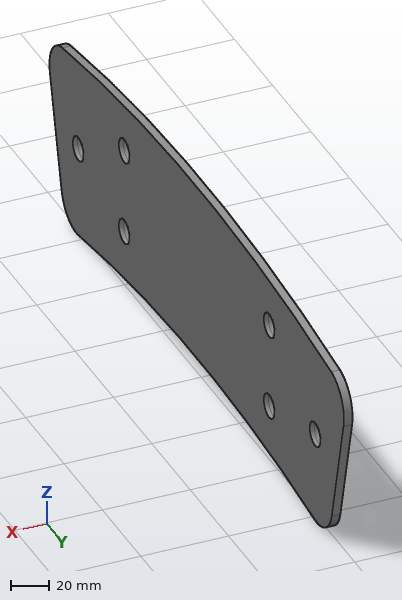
import cadquery as cq
import math

length = 384.0
thickness = 5.0
band_width = 105.3
outer_radius = 1087.0
inner_radius = outer_radius - band_width
corner_radius = 20.0
end_angle = math.radians(13.5)

hole_diameter = 14.0
end_hole_spacing = 309.0
inner_hole_spacing = 189.0
inner_hole_rise = 49.5
end_hole_drop = 64.5
inner_hole_drop = 56.5

end_hole_height = outer_radius - end_hole_drop
inner_hole_height = outer_radius - inner_hole_drop

round_y = length / 2 - corner_radius
round_z = math.sqrt((outer_radius - corner_radius) ** 2 - round_y**2)

edge_y = round_y + corner_radius * math.cos(end_angle)
edge_z = round_z - corner_radius * math.sin(end_angle)


def end_edge_corner(radius):
    """Sharp corner where the extended +Y end edge crosses an arc of the given radius."""
    along_y = math.sin(end_angle)
    along_z = math.cos(end_angle)
    projection = edge_y * along_y + edge_z * along_z
    offset_squared = edge_y**2 + edge_z**2 - projection**2
    travel = math.sqrt(radius**2 - offset_squared) - projection
    return edge_y + travel * along_y, edge_z + travel * along_z


def make_plate():
    """Curved band with leaning straight ends and four rounded corners."""
    top_y, top_z = end_edge_corner(outer_radius)
    bottom_y, bottom_z = end_edge_corner(inner_radius)
    return (
        cq.Workplane("YZ")
        .moveTo(-top_y, top_z)
        .threePointArc((0, outer_radius), (top_y, top_z))
        .lineTo(bottom_y, bottom_z)
        .threePointArc((0, inner_radius), (-bottom_y, bottom_z))
        .close()
        .extrude(thickness / 2, both=True)
        .edges("|X")
        .fillet(corner_radius)
    )


def make_holes():
    """Cutters for the six through holes, mirrored about the middle of the plate."""
    centres = []
    for side in (-1, 1):
        centres.append((side * end_hole_spacing / 2, end_hole_height))
        for level in (-1, 1):
            height = inner_hole_height + level * inner_hole_rise / 2
            centres.append((side * inner_hole_spacing / 2, height))
    return (
        cq.Workplane("YZ")
        .pushPoints(centres)
        .circle(hole_diameter / 2)
        .extrude(thickness, both=True)
    )


plate = make_plate().cut(make_holes())

bounds = plate.val().BoundingBox()
result = plate.translate((0, 0, -(bounds.zmin + bounds.zmax) / 2))